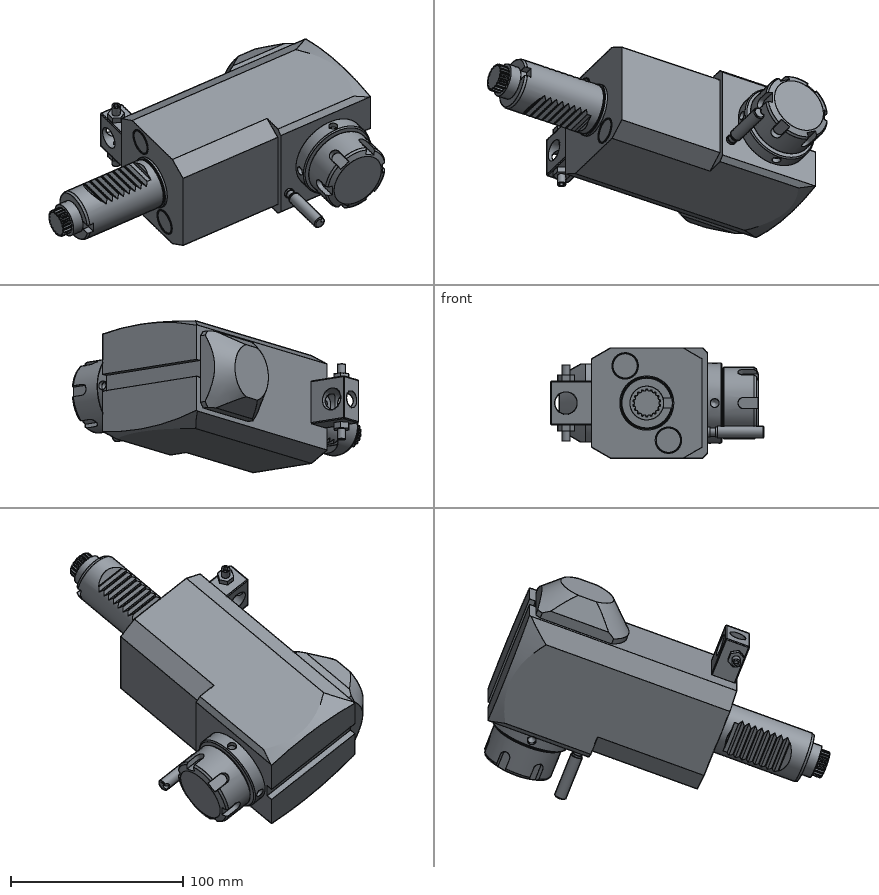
import cadquery as cq
import math


OVERALL_LENGTH = 196

HEIGHT = 64.0
HALF_HEIGHT = HEIGHT / 2
HALF_WIDTH = 32.1
LENGTH = 128.8
SIDE_CHAMFER_X = 11.2
SIDE_CHAMFER_Z = 6.5
HEAD_X = 35.3
HEAD_START_Y = 66.0
HEAD_CHAMFER = 3.0
BACK_SLOT_WIDTH = 10.0
BACK_SLOT_DEPTH = 3.7
BACK_CONE_RADIUS = 150.0
BACK_CONE_ANGLE = 15
BACK_CONE_X = 9.5
BACK_EDGE_Z = 31.2
PLUG_X = 12.5
PLUG_Z = 21.5
PLUG_RADIUS = 7.6
PLUG_GROOVE = 0.5

SPINDLE_Y = 100.0

CAP_RADIUS = 31.8
CAP_TIP_RADIUS = 16.5
CAP_HALF_HEIGHT = 22.7
CAP_BACK_Y = 124.9
CAP_TIP_X = -50.8
CAP_FLAT_START_X = -38.2
CAP_FLAT_ANGLE = 30

COLLAR_RADIUS = 23.3
COLLAR_END_X = 43.7
NECK_RADIUS = 18.0
GAP_CHAMFER = 0.8
NUT_START_X = 44.1
NUT_DIAMETER = 41.7
NUT_RADIUS = NUT_DIAMETER / 2
NUT_EDGE_X = 62.1
NUT_SHOULDER_X = 63.5
NUT_SHOULDER_RADIUS = 20.0
NUT_END_X = 64.9
NUT_END_RADIUS = 16.5
NUT_SLOTS = 6
NUT_SLOT_WIDTH = 6.5
NUT_SLOT_START_X = 53.0
NUT_SLOT_FLOOR = 17.5
SPANNER_HOLES = 4
SPANNER_HOLE_X = 39.4
SPANNER_HOLE_RADIUS = 2.5
SPANNER_HOLE_DEPTH = 3.0

PIN_Y = 71.5
PIN_Z = -16.9
PIN_RADIUS = 3.5
PIN_COLLAR_RADIUS = 3.0
PIN_NECK_DIAMETER = 4.9
PIN_NECK_RADIUS = PIN_NECK_DIAMETER / 2
PIN_NECK_START_X = 36.7
PIN_NECK_END_X = 39.8
PIN_BODY_X = 41.0
PIN_END_X = 68.0
PIN_CHAMFER = 0.5
NOZZLE_RADIUS = 1.8
NOZZLE_DEPTH = 4.0

BLOCK_X = -55.9
BLOCK_START_Y = 1.0
BLOCK_END_Y = 15.9
BLOCK_HALF_HEIGHT = 12.7
BLOCK_CHAMFER = 0.5
PORT_X = -46.8
PORT_RADIUS = 6.5
SIDE_PORT_Y = 8.5
SIDE_PORT_RADIUS = 4.9
SIDE_PORT_END_X = -37.2
SIDE_PASSAGE_RADIUS = 1.5
SCREW_Y = 6.0
SCREW_PASSAGE_RADIUS = 1.5
SCREW_DIAMETER = 4.9
SCREW_RADIUS = SCREW_DIAMETER / 2
SCREW_TOP_Z = 22.1
LOCKNUT_FLATS = 8.5
LOCKNUT_TOP_Z = 16.3
SOCKET_FLATS = 2.7
SOCKET_DEPTH = 3.0

SHANK_DIAMETER = 30.0
SHANK_RADIUS = SHANK_DIAMETER / 2
SHANK_END_Y = -54.9
SHANK_CHAMFER_R = 0.5
SHANK_CHAMFER_Y = 1.5
FLANGE_RADIUS = 15.7
FLANGE_Y = -1.4
RELIEF_RADIUS = 14.7
RELIEF_END_Y = -2.2
SPIGOT_RADIUS = 9.8
SPIGOT_END_Y = -61.3
KEYWAY_WIDTH = 5.9
KEYWAY_DEPTH = 4.0

RACK_START_Y = -7.3
RACK_CREST_Z = 11.8
RACK_ROOT_Z = 10.0
RACK_GROOVES = 8
FIRST_GROOVE_Y = -11.5
LAST_GROOVE_Y = -39.5
RACK_PITCH = (FIRST_GROOVE_Y - LAST_GROOVE_Y) / (RACK_GROOVES - 1)
RACK_FLANK_ANGLE = 45
RACK_WALL_CHAMFER = 1.2
RACK_RAMP_ANGLE = 45

SPLINE_TIP_RADIUS = 8.0
SPLINE_ROOT_RADIUS = 7.0
SPLINE_TEETH = 18
SPLINE_TIP_SHARE = 0.3
SPLINE_ROOT_SHARE = 0.3
SPLINE_END_Y = LENGTH - OVERALL_LENGTH
SPLINE_CHAMFER = 0.5


def box(x0, x1, y0, y1, z0, z1):
    """Box given by its limits."""
    return cq.Workplane("XY").box(x1 - x0, y1 - y0, z1 - z0, centered=False).translate((x0, y0, z0))


def turned_about_x(profile, y, z):
    """Solid turned about a line parallel to X from (x, radius) points."""
    return cq.Workplane("XY").polyline(profile).close().revolve(360, (0, 0), (1, 0)).translate((0, y, z))


def turned_about_y(profile):
    """Solid turned about the Y axis from (radius, y) points."""
    return cq.Workplane("XY").polyline(profile).close().revolve(360, (0, 0), (0, 1))


def rod(start, direction, radius, length):
    """Round rod starting at a point and running along a direction."""
    return cq.Workplane(cq.Solid.makeCylinder(radius, length, cq.Vector(*start), cq.Vector(*direction)))


def both_sides(solid):
    """The solid together with its mirror image below the XY plane."""
    return solid.union(solid.mirror("XY"))


def chamfered_bar(x0, x1, chamfer_x, chamfer_z, y0, y1):
    """Full-height bar along Y with its two +X edges bevelled."""
    outline = [
        (x0, -HALF_HEIGHT),
        (x1 - chamfer_x, -HALF_HEIGHT),
        (x1, -HALF_HEIGHT + chamfer_z),
        (x1, HALF_HEIGHT - chamfer_z),
        (x1 - chamfer_x, HALF_HEIGHT),
        (x0, HALF_HEIGHT),
    ]
    return cq.Workplane("XZ", origin=(0, y1, 0)).polyline(outline).close().extrude(y1 - y0)


def make_housing():
    slim_half = chamfered_bar(0, HALF_WIDTH, SIDE_CHAMFER_X, SIDE_CHAMFER_Z, 0, LENGTH)
    head = chamfered_bar(0, HEAD_X, HEAD_CHAMFER, HEAD_CHAMFER, HEAD_START_Y, LENGTH)
    housing = slim_half.mirror("YZ").union(slim_half).union(head)

    front_radius = BACK_CONE_RADIUS + LENGTH * math.tan(math.radians(BACK_CONE_ANGLE))
    cone = turned_about_y([(0, 0), (front_radius, 0), (BACK_CONE_RADIUS, LENGTH), (0, LENGTH)])
    cone_z = BACK_EDGE_Z - BACK_CONE_RADIUS
    for side in (1, -1):
        housing = housing.intersect(cone.translate((BACK_CONE_X, 0, side * cone_z)))

    half_slot = BACK_SLOT_WIDTH / 2
    housing = housing.cut(
        box(-HALF_WIDTH, HEAD_X, LENGTH - BACK_SLOT_DEPTH, LENGTH, -half_slot, half_slot)
    )

    for side in (1, -1):
        ring = (
            cq.Workplane("XZ", origin=(-side * PLUG_X, PLUG_GROOVE, side * PLUG_Z))
            .circle(PLUG_RADIUS)
            .circle(PLUG_RADIUS - PLUG_GROOVE)
            .extrude(PLUG_GROOVE)
        )
        housing = housing.cut(ring)
    return housing


def make_cap():
    cone_base_x = CAP_TIP_X + CAP_RADIUS - CAP_TIP_RADIUS
    cap = turned_about_x(
        [
            (-HALF_WIDTH, 0),
            (-HALF_WIDTH, CAP_RADIUS),
            (cone_base_x, CAP_RADIUS),
            (CAP_TIP_X, CAP_TIP_RADIUS),
            (CAP_TIP_X, 0),
        ],
        SPINDLE_Y,
        0,
    )
    flat_run = CAP_FLAT_START_X - CAP_TIP_X
    tip_z = CAP_HALF_HEIGHT - flat_run * math.tan(math.radians(CAP_FLAT_ANGLE))
    envelope = (
        cq.Workplane("XZ", origin=(0, CAP_BACK_Y, 0))
        .polyline(
            [
                (-HALF_WIDTH, -CAP_HALF_HEIGHT),
                (-HALF_WIDTH, CAP_HALF_HEIGHT),
                (CAP_FLAT_START_X, CAP_HALF_HEIGHT),
                (CAP_TIP_X, tip_z),
                (CAP_TIP_X, -tip_z),
                (CAP_FLAT_START_X, -CAP_HALF_HEIGHT),
            ]
        )
        .close()
        .extrude(2 * CAP_RADIUS)
    )
    return cap.intersect(envelope)


def make_spindle():
    spindle = turned_about_x(
        [
            (HALF_WIDTH, 0),
            (HALF_WIDTH, COLLAR_RADIUS),
            (COLLAR_END_X - GAP_CHAMFER, COLLAR_RADIUS),
            (COLLAR_END_X, COLLAR_RADIUS - GAP_CHAMFER),
            (COLLAR_END_X, NECK_RADIUS),
            (NUT_START_X, NECK_RADIUS),
            (NUT_START_X, NUT_RADIUS - GAP_CHAMFER),
            (NUT_START_X + GAP_CHAMFER, NUT_RADIUS),
            (NUT_EDGE_X, NUT_RADIUS),
            (NUT_SHOULDER_X, NUT_SHOULDER_RADIUS),
            (NUT_END_X, NUT_END_RADIUS),
            (NUT_END_X, 0),
        ],
        0,
        0,
    )
    half_slot = NUT_SLOT_WIDTH / 2
    round_x = NUT_SLOT_START_X + half_slot
    slot_height = COLLAR_RADIUS - NUT_SLOT_FLOOR
    slot = box(round_x, NUT_END_X, -COLLAR_RADIUS, -NUT_SLOT_FLOOR, -half_slot, half_slot)
    slot = slot.union(rod((round_x, -COLLAR_RADIUS, 0), (0, 1, 0), half_slot, slot_height))
    for index in range(NUT_SLOTS):
        spindle = spindle.cut(slot.rotate((0, 0, 0), (1, 0, 0), index * 360 / NUT_SLOTS))

    hole_floor_y = SPANNER_HOLE_DEPTH - COLLAR_RADIUS
    hole = turned_about_y(
        [
            (0, -COLLAR_RADIUS),
            (SPANNER_HOLE_RADIUS, -COLLAR_RADIUS),
            (SPANNER_HOLE_RADIUS, hole_floor_y),
            (0, hole_floor_y + SPANNER_HOLE_RADIUS),
        ]
    ).translate((SPANNER_HOLE_X, 0, 0))
    for index in range(SPANNER_HOLES):
        spindle = spindle.cut(hole.rotate((0, 0, 0), (1, 0, 0), index * 360 / SPANNER_HOLES))
    return spindle.translate((0, SPINDLE_Y, 0))


def make_nozzle_pin():
    pin = turned_about_x(
        [
            (HALF_WIDTH, 0),
            (HALF_WIDTH, PIN_COLLAR_RADIUS),
            (PIN_NECK_START_X, PIN_COLLAR_RADIUS),
            (PIN_NECK_START_X, PIN_NECK_RADIUS),
            (PIN_NECK_END_X, PIN_NECK_RADIUS),
            (PIN_NECK_END_X, PIN_COLLAR_RADIUS),
            (PIN_BODY_X, PIN_COLLAR_RADIUS),
            (PIN_BODY_X, PIN_RADIUS),
            (PIN_END_X - PIN_CHAMFER, PIN_RADIUS),
            (PIN_END_X, PIN_RADIUS - PIN_CHAMFER),
            (PIN_END_X, 0),
        ],
        PIN_Y,
        PIN_Z,
    )
    aim = math.atan2(-PIN_Z, SPINDLE_Y - PIN_Y)
    aim_y = math.cos(aim)
    aim_z = math.sin(aim)
    spray_hole = rod(
        (PIN_END_X, PIN_Y + PIN_RADIUS * aim_y, PIN_Z + PIN_RADIUS * aim_z),
        (-1, -aim_y, -aim_z),
        NOZZLE_RADIUS,
        NOZZLE_DEPTH,
    )
    return pin.cut(spray_hole)


def make_adjusting_screw():
    """Upper socket screw and lock nut of the coolant block."""
    locknut = (
        cq.Workplane("XY", origin=(PORT_X, SCREW_Y, BLOCK_HALF_HEIGHT))
        .polygon(6, LOCKNUT_FLATS / math.cos(math.pi / 6))
        .extrude(LOCKNUT_TOP_Z - BLOCK_HALF_HEIGHT)
    )
    stud_length = SCREW_TOP_Z - BLOCK_HALF_HEIGHT
    stud = rod((PORT_X, SCREW_Y, BLOCK_HALF_HEIGHT), (0, 0, 1), SCREW_RADIUS, stud_length)
    socket = (
        cq.Workplane("XY", origin=(PORT_X, SCREW_Y, SCREW_TOP_Z))
        .polygon(6, SOCKET_FLATS / math.cos(math.pi / 6))
        .extrude(-SOCKET_DEPTH)
    )
    return locknut.union(stud).cut(socket)


def make_coolant_block():
    block = box(
        BLOCK_X, -HALF_WIDTH, BLOCK_START_Y, BLOCK_END_Y, -BLOCK_HALF_HEIGHT, BLOCK_HALF_HEIGHT
    )
    block = block.edges("|X or <X").chamfer(BLOCK_CHAMFER)

    block = block.cut(rod((PORT_X, BLOCK_START_Y, 0), (0, 1, 0), PORT_RADIUS, BLOCK_END_Y - BLOCK_START_Y))
    block = block.cut(
        rod((BLOCK_X, SIDE_PORT_Y, 0), (1, 0, 0), SIDE_PORT_RADIUS, SIDE_PORT_END_X - BLOCK_X)
    )
    block = block.cut(
        rod((BLOCK_X, SIDE_PORT_Y, 0), (1, 0, 0), SIDE_PASSAGE_RADIUS, -HALF_WIDTH - BLOCK_X)
    )

    block = block.cut(
        rod((PORT_X, SCREW_Y, -BLOCK_HALF_HEIGHT), (0, 0, 1), SCREW_PASSAGE_RADIUS, 2 * BLOCK_HALF_HEIGHT)
    )
    return block.union(both_sides(make_adjusting_screw()))


def make_rack_cutter():
    """Material removed above the rack on the upper side of the shank."""
    half_mouth = (RACK_CREST_Z - RACK_ROOT_Z) * math.tan(math.radians(RACK_FLANK_ANGLE))
    top_z = SHANK_RADIUS
    outline = [
        (RACK_START_Y + RACK_WALL_CHAMFER, top_z),
        (RACK_START_Y, top_z - RACK_WALL_CHAMFER),
        (RACK_START_Y, RACK_CREST_Z),
    ]
    for index in range(RACK_GROOVES):
        y = FIRST_GROOVE_Y - index * RACK_PITCH
        outline += [
            (y + half_mouth, RACK_CREST_Z),
            (y, RACK_ROOT_Z),
            (y - half_mouth, RACK_CREST_Z),
        ]
    ramp_start_y = FIRST_GROOVE_Y - RACK_GROOVES * RACK_PITCH + half_mouth
    ramp_run = (top_z - RACK_CREST_Z) / math.tan(math.radians(RACK_RAMP_ANGLE))
    outline += [(ramp_start_y, RACK_CREST_Z), (ramp_start_y - ramp_run, top_z)]
    return cq.Workplane("YZ").polyline(outline).close().extrude(SHANK_RADIUS, both=True)


def make_shank():
    shank = turned_about_y(
        [
            (0, 0),
            (FLANGE_RADIUS, 0),
            (FLANGE_RADIUS, FLANGE_Y),
            (RELIEF_RADIUS, FLANGE_Y),
            (RELIEF_RADIUS, RELIEF_END_Y),
            (SHANK_RADIUS, RELIEF_END_Y),
            (SHANK_RADIUS, SHANK_END_Y + SHANK_CHAMFER_Y),
            (SHANK_RADIUS - SHANK_CHAMFER_R, SHANK_END_Y),
            (SPIGOT_RADIUS, SHANK_END_Y),
            (SPIGOT_RADIUS, SPIGOT_END_Y),
            (0, SPIGOT_END_Y),
        ]
    )
    shank = shank.cut(both_sides(make_rack_cutter()))

    half_key = KEYWAY_WIDTH / 2
    keyway = box(
        SPIGOT_RADIUS, SHANK_RADIUS, SHANK_END_Y, SHANK_END_Y + KEYWAY_DEPTH, -half_key, half_key
    )
    return shank.cut(keyway)


def make_spline():
    pitch_angle = 2 * math.pi / SPLINE_TEETH
    half_tip = pitch_angle * SPLINE_TIP_SHARE / 2
    half_root = pitch_angle * SPLINE_ROOT_SHARE / 2

    outline = []
    for index in range(SPLINE_TEETH):
        tooth = math.pi / 2 + index * pitch_angle
        gap = tooth + pitch_angle / 2
        corners = [
            (SPLINE_TIP_RADIUS, tooth - half_tip),
            (SPLINE_TIP_RADIUS, tooth + half_tip),
            (SPLINE_ROOT_RADIUS, gap - half_root),
            (SPLINE_ROOT_RADIUS, gap + half_root),
        ]
        outline += [(r * math.cos(angle), r * math.sin(angle)) for r, angle in corners]
    teeth = (
        cq.Workplane("XZ", origin=(0, SPIGOT_END_Y, 0))
        .polyline(outline)
        .close()
        .extrude(SPIGOT_END_Y - SPLINE_END_Y)
    )
    envelope = turned_about_y(
        [
            (0, SPIGOT_END_Y),
            (SPLINE_TIP_RADIUS, SPIGOT_END_Y),
            (SPLINE_TIP_RADIUS, SPLINE_END_Y + SPLINE_CHAMFER),
            (SPLINE_TIP_RADIUS - SPLINE_CHAMFER, SPLINE_END_Y),
            (0, SPLINE_END_Y),
        ]
    )
    return teeth.intersect(envelope)


result = (
    make_housing()
    .union(make_cap())
    .union(make_spindle())
    .union(make_nozzle_pin())
    .union(make_coolant_block())
    .union(make_shank())
    .union(make_spline())
)